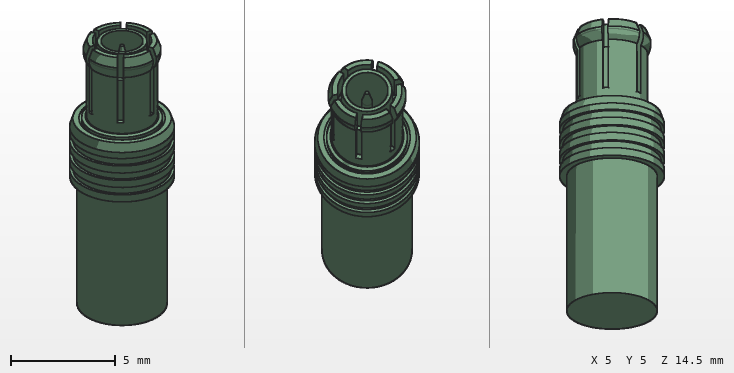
import cadquery as cq
import math

total_height = 14.5

barrel_radius = 2.16
rib_diameter = 5.0
rib_radius = rib_diameter / 2
groove_radius = 2.35
grip_bottom = 7.02
rib_height = 0.39
rib_pitch = 0.8
rib_count = 4

collar_bottom = 9.75
collar_top = 10.2
collar_top_radius = 2.35

moat_outer_radius = 2.06
moat_bottom_radius = 1.93
moat_bottom = 10.09
ring_top = 10.32
ring_top_radius = 1.75
ring_edge = 10.25

tube_radius = 1.7
bead_radius = 1.85
bead_bottom = 13.41
bead_belt_bottom = 13.92
bead_belt_top = 14.04
rim_radius = 1.67
finger_inner_radius = 1.4

slot_count = 6
slot_width = 0.29
slot_bottom = 10.92
slot_floor_radius = 1.46

gap_bottom = 13.14
sleeve_base_radius = 1.26
sleeve_top_radius = 1.19
sleeve_recess = 0.06
sleeve_top = total_height - sleeve_recess
bore_radius = 1.0
bore_bottom = ring_top

pin_radius = 0.25
pin_tip_radius = 0.09
pin_top = 14.21
pin_taper_height = 0.72


def disc(radius, bottom, top):
    return cq.Workplane("XY").workplane(offset=bottom).circle(radius).extrude(top - bottom)


def tube_zone(inner_radius, outer_radius, bottom, top):
    return disc(outer_radius, bottom, top).cut(disc(inner_radius, bottom, top))


def revolve_profile(profile):
    return profile.close().revolve(360, (0, 0, 0), (0, 1, 0))


def make_body():
    """Barrel, collar, moat and beaded tube as one solid of revolution."""
    arc_drop = bead_belt_bottom - bead_bottom
    arc_inset = bead_radius - tube_radius
    arc_radius = (arc_drop**2 + arc_inset**2) / (2 * arc_inset)
    half_angle = math.asin(arc_drop / arc_radius) / 2
    arc_middle = (
        bead_radius - arc_radius * (1 - math.cos(half_angle)),
        bead_belt_bottom - arc_radius * math.sin(half_angle),
    )
    profile = (
        cq.Workplane("XZ")
        .moveTo(0, 0)
        .lineTo(barrel_radius, 0)
        .lineTo(barrel_radius, grip_bottom)
        .lineTo(groove_radius, grip_bottom)
        .lineTo(groove_radius, collar_bottom)
        .lineTo(rib_radius, collar_bottom)
        .lineTo(collar_top_radius, collar_top)
        .lineTo(moat_outer_radius, collar_top)
        .lineTo(moat_bottom_radius, moat_bottom)
        .lineTo(moat_bottom_radius, ring_edge)
        .lineTo(ring_top_radius, ring_top)
        .lineTo(tube_radius, ring_top)
        .lineTo(tube_radius, bead_bottom)
        .threePointArc(arc_middle, (bead_radius, bead_belt_bottom))
        .lineTo(bead_radius, bead_belt_top)
        .lineTo(rim_radius, total_height)
        .lineTo(0, total_height)
    )
    return revolve_profile(profile)


def add_ribs(body):
    for index in range(rib_count):
        bottom = grip_bottom + index * rib_pitch
        is_top_rib = index == rib_count - 1
        top = collar_bottom if is_top_rib else bottom + rib_height
        body = body.union(disc(rib_radius, bottom, top))
    return body


def hollow_top(body):
    """Open the gap inside the fingers, which leaves a tapered sleeve, and bore the sleeve."""
    gap_profile = (
        cq.Workplane("XZ")
        .moveTo(sleeve_base_radius, gap_bottom)
        .lineTo(sleeve_top_radius, sleeve_top)
        .lineTo(0, sleeve_top)
        .lineTo(0, total_height)
        .lineTo(finger_inner_radius, total_height)
        .lineTo(finger_inner_radius, gap_bottom)
    )
    bore = disc(bore_radius, bore_bottom, total_height)
    return body.cut(revolve_profile(gap_profile)).cut(bore)


def cut_slots(body):
    """Slots reach in to the slot floor, and break through into the gap above the gap's bottom."""
    lower_zone = tube_zone(slot_floor_radius, bead_radius, slot_bottom, gap_bottom)
    upper_zone = tube_zone(sleeve_base_radius, bead_radius, gap_bottom, total_height)
    slot_zone = lower_zone.union(upper_zone)
    slab = cq.Workplane("XY").box(2 * bead_radius, slot_width, total_height, centered=(False, True, False))
    for index in range(slot_count):
        turned_slab = slab.rotate((0, 0, 0), (0, 0, 1), index * 360 / slot_count)
        body = body.cut(slot_zone.intersect(turned_slab))
    return body


def make_pin():
    profile = (
        cq.Workplane("XZ")
        .moveTo(0, bore_bottom)
        .lineTo(pin_radius, bore_bottom)
        .lineTo(pin_radius, pin_top - pin_taper_height)
        .lineTo(pin_tip_radius, pin_top)
        .lineTo(0, pin_top)
    )
    return revolve_profile(profile)


result = cut_slots(hollow_top(add_ribs(make_body()))).union(make_pin())